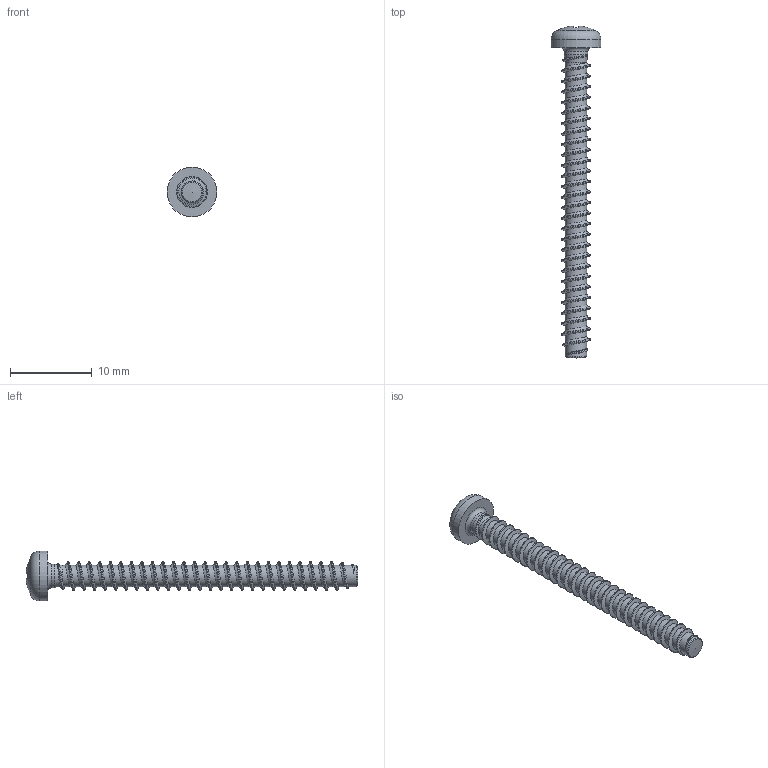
import cadquery as cq
import math


head_radius = 3.05
rim_height = 1.0
shoulder_radius = 1.2
dome_height = 2.67

recess_width = 0.65
recess_span = 2.9
recess_depth = 1.2

shank_length = 38.0
core_radius = 1.31
neck_radius = 1.45
neck_fillet = 0.45
neck_end = 0.86
core_start = 1.83
tip_radius = 1.22
tip_chamfer_length = 0.1
tip_bulge = 0.06

pitch = 1.29
crest_radius = 1.77
crest_half_width = 0.05
knee_radius = 1.47
knee_offset = 0.13
foot_radius = core_radius - 0.08
head_side_foot = 0.58
tip_side_foot = 0.2
first_crest_depth = 2.2
full_turns = 26
fade_turns = 1.5
end_scale = -0.06
points_per_path = 16


def revolved_body():
    """Head, neck, core and tip as one revolved outline; x is the radius."""
    shoulder_offset = head_radius - shoulder_radius
    dome_rise = dome_height - rim_height
    dome_radius = (
        (shoulder_offset**2 + dome_rise**2 - shoulder_radius**2) / (2 * (dome_rise - shoulder_radius))
    )
    dome_centre = dome_height - dome_radius
    join_angle = math.asin(shoulder_offset / (dome_radius - shoulder_radius))

    def on_dome(angle):
        return (dome_radius * math.sin(angle), dome_centre + dome_radius * math.cos(angle))

    middle_angle = (join_angle + math.pi / 2) / 2
    shoulder_middle = (
        shoulder_offset + shoulder_radius * math.sin(middle_angle),
        rim_height + shoulder_radius * math.cos(middle_angle),
    )
    fillet_reach = neck_fillet * (1 - math.sqrt(0.5))
    outline = (
        cq.Workplane("XY")
        .moveTo(0, dome_height)
        .threePointArc(on_dome(join_angle / 2), on_dome(join_angle))
        .threePointArc(shoulder_middle, (head_radius, rim_height))
        .lineTo(head_radius, 0)
        .lineTo(neck_radius + neck_fillet, 0)
        .threePointArc((neck_radius + fillet_reach, -fillet_reach), (neck_radius, -neck_fillet))
        .lineTo(neck_radius, -neck_end)
        .lineTo(core_radius, -core_start)
        .lineTo(core_radius, tip_bulge + tip_chamfer_length - shank_length)
        .lineTo(tip_radius, tip_bulge - shank_length)
        .lineTo(0, -shank_length)
        .close()
    )
    return outline.revolve(360, (0, 0, 0), (0, 1, 0))


def cross_recess():
    """Two crossed slots sunk from the top of the dome."""
    floor = cq.Workplane("XZ", origin=(0, dome_height - recess_depth, 0))
    slot = floor.rect(recess_span, recess_width).extrude(-2 * recess_depth)
    crossing_slot = floor.rect(recess_width, recess_span).extrude(-2 * recess_depth)
    return slot.union(crossing_slot)


def profile_scale(turn):
    """Height of the thread above the core at a turn, as a share of its full height."""
    turns_outside = max(0, -turn, turn - full_turns)
    return 1 - (1 - end_scale) * turns_outside / fade_turns


def thread_point(corner, turn):
    """Place of a profile corner a number of turns after the first full-height crest."""
    radius, offset = corner
    if radius > core_radius:
        radius = core_radius + (radius - core_radius) * profile_scale(turn)
    angle = 2 * math.pi * turn
    depth = first_crest_depth + pitch * turn + offset
    return cq.Vector(radius * math.cos(angle), -depth, radius * math.sin(angle))


def flank_faces(corners, start, end):
    """Ruled faces between the paths that neighbouring profile corners follow over a stretch of turns."""
    turns = [start + (end - start) * step / points_per_path for step in range(points_per_path + 1)]
    paths = [cq.Edge.makeSpline([thread_point(corner, turn) for turn in turns]) for corner in corners]
    return [
        cq.Face.makeRuledSurface(path, next_path)
        for path, next_path in zip(paths, paths[1:] + paths[:1])
    ]


def thread_ridge():
    """Helical ridge built turn by turn and capped where it has faded into the shank."""
    corners = [
        (foot_radius, -head_side_foot),
        (knee_radius, -knee_offset),
        (crest_radius, -crest_half_width),
        (crest_radius, crest_half_width),
        (foot_radius, tip_side_foot),
    ]
    first_turn = -fade_turns
    last_turn = full_turns + fade_turns
    stations = [first_turn, *range(full_turns + 1), last_turn]

    faces = []
    for start, end in zip(stations, stations[1:]):
        faces.extend(flank_faces(corners, start, end))
    for turn in (first_turn, last_turn):
        cap = cq.Wire.makePolygon([thread_point(corner, turn) for corner in corners], close=True)
        faces.append(cq.Face.makeFromWires(cap))
    return cq.Solid.makeSolid(cq.Shell.makeShell(faces)).fix()


screw = revolved_body().cut(cross_recess()).union(cq.Workplane(obj=thread_ridge()))
result = screw.solids()